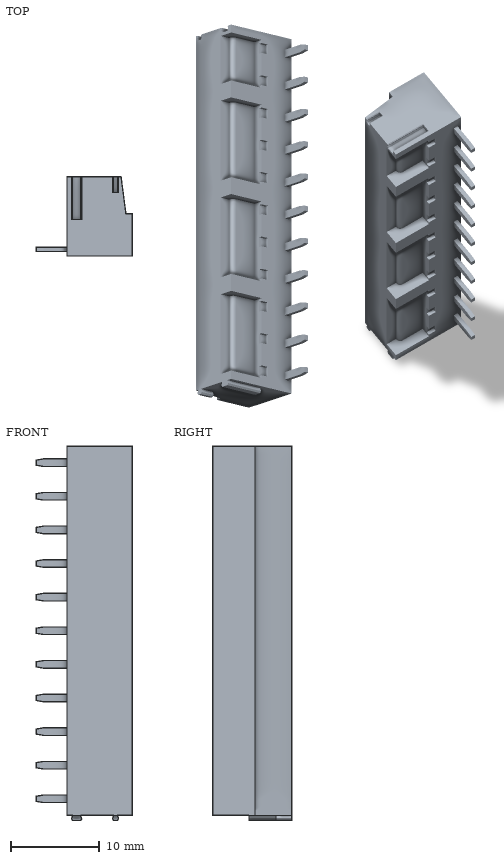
import cadquery as cq

body_width = 7.45
body_depth = 9.0
overall_height = 42.45
tongue_height = 0.6
body_height = overall_height - tongue_height
slope_start_x = 6.15
slope_end_x = 6.7
slope_depth = 4.2

pin_count = 11
pin_span = 38.1
pin_pitch = pin_span / (pin_count - 1)
pin_length = 3.5
pin_thickness = 0.5
pin_height = 0.9
pin_y = 0.75
tip_length = 0.85
tip_height = 0.6
first_pin_z = (body_height - pin_span) / 2

contacts_per_recess = 3
recess_height = 9.43
recess_depth_y = 4.55
recess_inner_y = body_depth - recess_depth_y
floor_depth = 1.25
deep_floor_depth = 1.83
deep_floor_y = 1.27
step_radius = 0.5
top_wall = 0.95

notch_length = 0.95
notch_height = 1.15
notch_depth = 0.42

waist_height = 0.4
tongue_flare = 0.15
lead_in_depth = 0.13
wide_tongue_x = 1.1
wide_tongue_width = 1.2
wide_tongue_length = 4.9
narrow_tongue_x = 5.5
narrow_tongue_width = 0.72
narrow_tongue_length = 1.8


def pin_z(index):
    return first_pin_z + index * pin_pitch


def box(x_range, y_range, z_range):
    """Axis-aligned block between pairs of limits."""
    lengths = [end - start for start, end in (x_range, y_range, z_range)]
    corner = (x_range[0], y_range[0], z_range[0])
    return cq.Workplane("XY").box(*lengths, centered=False).translate(corner)


def make_housing():
    outline = [
        (0, 0),
        (body_width, 0),
        (body_width, body_depth - slope_depth),
        (slope_end_x, body_depth - slope_depth),
        (slope_start_x, body_depth),
        (0, body_depth),
    ]
    return cq.Workplane("XY").polyline(outline).close().extrude(body_height)


def make_pin(z):
    """Flat contact whose tip narrows in height only."""
    outline = [
        (0, z - pin_height / 2),
        (0, z + pin_height / 2),
        (tip_length - pin_length, z + pin_height / 2),
        (-pin_length, z + tip_height / 2),
        (-pin_length, z - tip_height / 2),
        (tip_length - pin_length, z - pin_height / 2),
    ]
    pin = cq.Workplane("XZ").polyline(outline).close().extrude(pin_thickness / 2, both=True)
    return pin.translate((0, pin_y, 0))


def make_recess(bottom_z, top_z):
    """Recess open to the pin face and the +Y side, with a rounded step to its deeper part."""
    step_y = body_depth - deep_floor_y
    profile = (
        cq.Workplane("XY", origin=(0, 0, bottom_z))
        .moveTo(0, recess_inner_y)
        .lineTo(floor_depth, recess_inner_y)
        .lineTo(floor_depth, step_y - step_radius)
        .radiusArc((floor_depth + step_radius, step_y), step_radius)
        .lineTo(deep_floor_depth, step_y)
        .lineTo(deep_floor_depth, body_depth)
        .lineTo(0, body_depth)
        .close()
    )
    return profile.extrude(top_z - bottom_z)


def make_notch(z):
    return box(
        (0, notch_depth),
        (recess_inner_y - notch_length, recess_inner_y),
        (z - notch_height / 2, z + notch_height / 2),
    )


def make_tongue(center_x, width, length):
    """Rail below Z = 0 that widens to its waist and narrows again."""
    half = width / 2
    neck = half - tongue_flare
    outline = [
        (center_x - neck, 0),
        (center_x - half, -waist_height),
        (center_x - neck, -tongue_height),
        (center_x + neck, -tongue_height),
        (center_x + half, -waist_height),
        (center_x + neck, 0),
    ]
    rail = cq.Workplane("XZ").polyline(outline).close().extrude(length)
    return rail.translate((0, body_depth, 0))


def make_groove(center_x, width, length):
    """Mate of the tongue in the top face, its mouth widened by a lead-in chamfer."""
    half = width / 2
    neck = half - tongue_flare
    mouth = [
        (center_x - half, body_height),
        (center_x + half, body_height),
        (center_x + neck, body_height - lead_in_depth),
        (center_x - neck, body_height - lead_in_depth),
    ]
    lead_in = cq.Workplane("XZ").polyline(mouth).close().extrude(length)
    channel = make_tongue(center_x, width, length).translate((0, 0, body_height))
    return channel.union(lead_in.translate((0, body_depth, 0)))


tongues = [
    (wide_tongue_x, wide_tongue_width, wide_tongue_length),
    (narrow_tongue_x, narrow_tongue_width, narrow_tongue_length),
]

result = make_housing()
for center_index in range(1, pin_count, contacts_per_recess):
    middle_z = pin_z(center_index)
    recess_top = min(middle_z + recess_height / 2, body_height - top_wall)
    result = result.cut(make_recess(middle_z - recess_height / 2, recess_top))
for index in range(pin_count):
    result = result.cut(make_notch(pin_z(index)))
    result = result.union(make_pin(pin_z(index)))
for tongue in tongues:
    result = result.cut(make_groove(*tongue))
    result = result.union(make_tongue(*tongue))